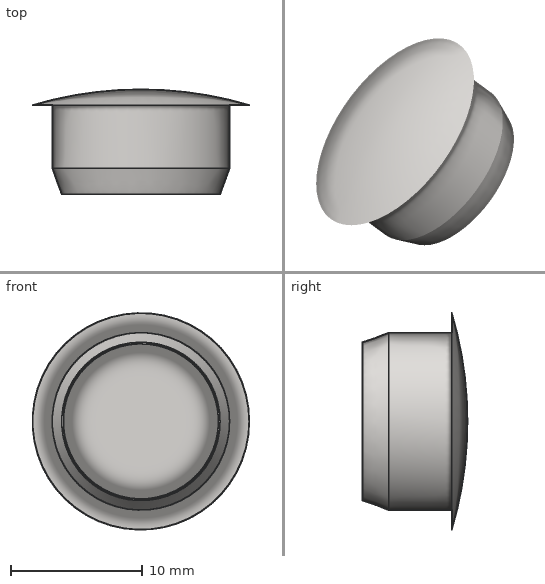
import cadquery as cq

head_diameter = 16.5
total_length = 8.0
dome_height = 1.2
barrel_diameter = 13.5
tip_diameter = 12.05
taper_length = 2.0
bore_diameter = 11.8

stem_length = total_length - dome_height

head_radius = head_diameter / 2
dome_radius = (head_radius**2 + dome_height**2) / (2 * dome_height)
dome_center_y = dome_height - dome_radius
arc_mid_x = head_radius / 2
arc_mid_y = dome_center_y + (dome_radius**2 - arc_mid_x**2) ** 0.5
bore_floor_y = 0

profile = (
    cq.Workplane("XY")
    .moveTo(0, dome_height)
    .threePointArc((arc_mid_x, arc_mid_y), (head_radius, 0))
    .lineTo(barrel_diameter / 2, 0)
    .lineTo(barrel_diameter / 2, taper_length - stem_length)
    .lineTo(tip_diameter / 2, -stem_length)
    .lineTo(bore_diameter / 2, -stem_length)
    .lineTo(bore_diameter / 2, bore_floor_y)
    .lineTo(0, bore_floor_y)
    .close()
)

result = profile.revolve(360, (0, 0, 0), (0, 1, 0))